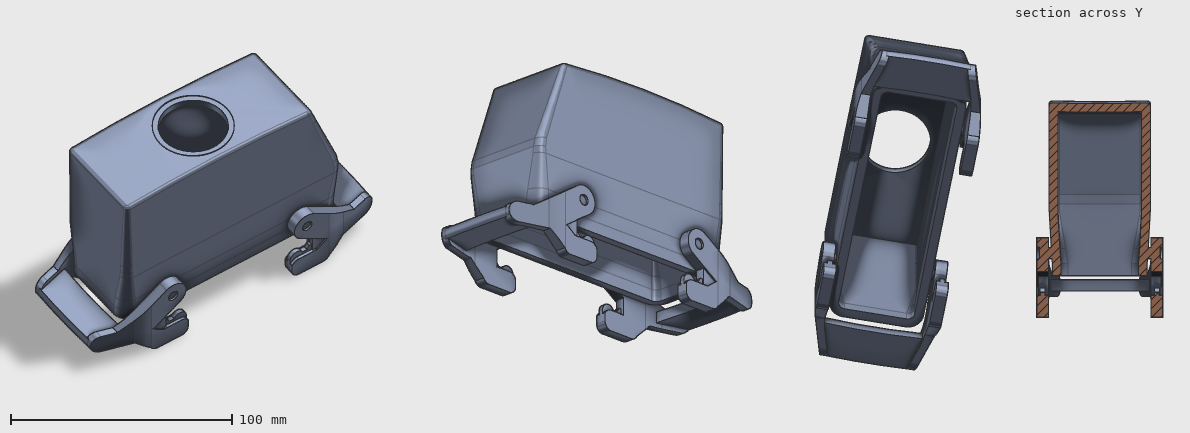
import cadquery as cq
import math

HOOD_HALF_LENGTH = 60.0
RIM_HALF_WIDTH = 21.5
SHOULDER_HALF_WIDTH = 22.0
BODY_HALF_WIDTH = 23.0

RIM_BOTTOM_Z = 18.8
RIM_TOP_Z = 24.5
SHOULDER_Z = 31.2
WAIST_Z = 47.9
BEND_BOTTOM_Z = 51.2
BEND_TOP_Z = 55.4
BLANK_TOP_Z = 100.5

RIM_CORNER_RADIUS = 7.2
SHOULDER_CORNER_RADIUS = 6.6
WAIST_CORNER_RADIUS = 4.1
TOP_CORNER_RADIUS = 1.9
SMALLEST_CORNER_RADIUS = 0.6

FRONT_LEAN = 0.013
REAR_LEAN = 0.38
REAR_SLOPE_START_Z = 53.4

CROWN_TOP_Z = 97.8
CROWN_RADIUS = 604.5
ENTRY_Y = -5.8
TOP_FILLET = 1.5
WALL = 4.1

ENTRY_DIAMETER = 31.7
SPOTFACE_DIAMETER = 37.0
SPOTFACE_DEPTH = 0.5

PIN_Y = 37.0
PIN_Z = 29.0
PIN_DIAMETER = 5.2
PIN_RECESS = 1.1
PIN_ROOT_X = 19.6

HEAD_RADIUS = 7.0
LEVER_WIDTH = 57.0
LEVER_OUTER_X = LEVER_WIDTH / 2
LEVER_INNER_X = 23.1
LEVER_END_Y = 78.0
LEVER_TOP_Z = PIN_Z + HEAD_RADIUS
TAPER = 0.29
OUTER_BEND_Y = 53.7
INNER_BEND_Y = 59.5
BEND_RADIUS = 33.0
PLATE_END_FILLET = 1.3

ARM_ANGLE = math.radians(32.2)
HANDLE_TOP_Z = 19.5
HANDLE_BOTTOM_Z = 9.5
HANDLE_END_RADIUS = (HANDLE_TOP_Z - HANDLE_BOTTOM_Z) / 2
HANDLE_MIDDLE_Z = (HANDLE_TOP_Z + HANDLE_BOTTOM_Z) / 2
HANDLE_INNER_Y = 57.6
HEEL_TOP = (49.3, 2.2)
HEEL_MIDDLE = (47.5, 0.5)
HEEL_BOTTOM_Y = 45.4
HOOK_END_Y = 28.7
HOOK_TOE_RADIUS = 3.8
HOOK_TIP_RADIUS = 3.6
HOOK_TOP_Z = 13.3
THROAT_Y = 40.7
NOTCH_Z = 11.5

TONGUE_LEDGE_DEPTH = 1.5
THROAT_LEDGE_DEPTH = 0.8
LEDGE_Z = 10.0
LEDGE_END_Z = 7.7
LEDGE_CURVE_MIDDLE = (30.1, 9.3)
LEDGE_CURVE_Y = 32.3
LEDGE_INNER_Y = 42.5
LEDGE_TIP_Y = 48.0

BAR_END_Y = 78.5
BAR_INNER_Y = 61.7
BAR_TOP_Z = 17.1
BAR_BOTTOM_Z = 12.0
BAR_CURVE_RADIUS = 392.5
BAR_SWEEP = 8.4


def front_y(z):
    """Front face of the hood: upright on the rim, leaning inward above it."""
    return -HOOD_HALF_LENGTH + FRONT_LEAN * (max(z, RIM_TOP_Z) - RIM_TOP_Z)


def rear_y(z):
    """Rear face of the hood: upright, then sloping inward."""
    if z < BEND_TOP_Z:
        return HOOD_HALF_LENGTH
    return HOOD_HALF_LENGTH - REAR_LEAN * (z - REAR_SLOPE_START_Z)


def corner_radius(z):
    """Corner radius above the waist, shrinking evenly to the top."""
    share = (z - WAIST_Z) / (BLANK_TOP_Z - WAIST_Z)
    return WAIST_CORNER_RADIUS + share * (TOP_CORNER_RADIUS - WAIST_CORNER_RADIUS)


def hood_section(z, half_width, radius, inset):
    """Horizontal rounded rectangle of the hood at height z, offset inward by inset."""
    front = front_y(z) + inset
    rear = rear_y(z) - inset
    outline = cq.Sketch().rect(2 * (half_width - inset), rear - front)
    outline = outline.vertices().fillet(max(radius - inset, SMALLEST_CORNER_RADIUS))
    return outline.moved(cq.Location(cq.Vector(0, (front + rear) / 2, z)))


def hood_block(inset):
    """Solid hood shape with a crowned top, offset inward by inset on all sides but the bottom."""
    levels = [
        (RIM_BOTTOM_Z, RIM_HALF_WIDTH, RIM_CORNER_RADIUS),
        (RIM_TOP_Z, RIM_HALF_WIDTH, RIM_CORNER_RADIUS),
        (SHOULDER_Z, SHOULDER_HALF_WIDTH, SHOULDER_CORNER_RADIUS),
    ]
    for z in (WAIST_Z, BEND_BOTTOM_Z, BEND_TOP_Z, BLANK_TOP_Z):
        levels.append((z, BODY_HALF_WIDTH, corner_radius(z)))
    sections = [hood_section(*level, inset) for level in levels]
    blank = cq.Workplane("XY").placeSketch(*sections).loft(ruled=True).clean()
    crown = (
        cq.Workplane("YZ", origin=(0, ENTRY_Y, CROWN_TOP_Z - CROWN_RADIUS))
        .circle(CROWN_RADIUS - inset)
        .extrude(BODY_HALF_WIDTH, both=True)
    )
    return blank.intersect(crown)


def round_top_edges(block):
    """Round the edges around the crown."""
    lowest_z = CROWN_TOP_Z - 3 * TOP_FILLET
    top_edges = cq.selectors.BoxSelector(
        (-BODY_HALF_WIDTH, -HOOD_HALF_LENGTH, lowest_z), (BODY_HALF_WIDTH, HOOD_HALF_LENGTH, BLANK_TOP_Z)
    )
    return block.edges(top_edges).fillet(TOP_FILLET)


def pivot_pins():
    """Four pins, two on each long side of the hood."""
    pin_end_x = LEVER_OUTER_X - PIN_RECESS
    pin = cq.Workplane("YZ").circle(PIN_DIAMETER / 2).extrude(pin_end_x - PIN_ROOT_X)
    pins = cq.Workplane("XY")
    for y in (-PIN_Y, PIN_Y):
        for start_x in (-pin_end_x, PIN_ROOT_X):
            pins = pins.add(pin.translate((start_x, y, PIN_Z)))
    return pins.combine()


def make_hood():
    """Hollow hood, open at the bottom, with its cable entry and pivot pins."""
    hood = round_top_edges(hood_block(0)).cut(hood_block(WALL))
    spotface = (
        cq.Workplane("XY", origin=(0, ENTRY_Y, CROWN_TOP_Z - SPOTFACE_DEPTH))
        .circle(SPOTFACE_DIAMETER / 2)
        .extrude(SPOTFACE_DEPTH)
    )
    entry = (
        cq.Workplane("XY", origin=(0, ENTRY_Y, CROWN_TOP_Z - 2 * WALL))
        .circle(ENTRY_DIAMETER / 2)
        .extrude(2 * WALL)
    )
    return hood.cut(spotface).cut(entry).union(pivot_pins())


def arm_point(side, reach):
    """Point on the arm's upper (side 1) or lower (side -1) edge, at a distance past the head."""
    return (
        PIN_Y + side * HEAD_RADIUS * math.sin(ARM_ANGLE) + reach * math.cos(ARM_ANGLE),
        PIN_Z + side * HEAD_RADIUS * math.cos(ARM_ANGLE) - reach * math.sin(ARM_ANGLE),
    )


def arm_point_at_y(side, y):
    """Point on the arm's upper or lower edge at a given Y."""
    return arm_point(side, (y - arm_point(side, 0)[0]) / math.cos(ARM_ANGLE))


def arm_point_at_z(side, z):
    """Point on the arm's upper or lower edge at a given height."""
    return arm_point(side, (arm_point(side, 0)[1] - z) / math.sin(ARM_ANGLE))


def lever_side_profile():
    """Outline of a side plate: pivot head, arm, handle and hook."""
    end_center_y = LEVER_END_Y - HANDLE_END_RADIUS
    toe_diagonal = HOOK_TOE_RADIUS * (1 - math.sqrt(0.5))
    tip_center = (HOOK_END_Y + HOOK_TIP_RADIUS, HOOK_TOP_Z - HOOK_TIP_RADIUS)
    tip_drop = math.sqrt(HOOK_TIP_RADIUS**2 - (NOTCH_Z - tip_center[1]) ** 2)
    notch_width = THROAT_Y - tip_center[0] - tip_drop
    return (
        cq.Workplane("YZ")
        .moveTo(*arm_point(1, 0))
        .lineTo(*arm_point_at_z(1, HANDLE_TOP_Z))
        .lineTo(end_center_y, HANDLE_TOP_Z)
        .threePointArc((LEVER_END_Y, HANDLE_MIDDLE_Z), (end_center_y, HANDLE_BOTTOM_Z))
        .lineTo(HANDLE_INNER_Y, HANDLE_BOTTOM_Z)
        .lineTo(*HEEL_TOP)
        .threePointArc(HEEL_MIDDLE, (HEEL_BOTTOM_Y, 0))
        .lineTo(HOOK_END_Y + HOOK_TOE_RADIUS, 0)
        .threePointArc((HOOK_END_Y + toe_diagonal, toe_diagonal), (HOOK_END_Y, HOOK_TOE_RADIUS))
        .lineTo(HOOK_END_Y, tip_center[1])
        .threePointArc((tip_center[0], HOOK_TOP_Z), (tip_center[0] + tip_drop, NOTCH_Z))
        .lineTo(THROAT_Y - notch_width / 2, NOTCH_Z)
        .lineTo(THROAT_Y - notch_width / 4, HOOK_TOP_Z)
        .lineTo(THROAT_Y, HOOK_TOP_Z)
        .lineTo(*arm_point_at_y(-1, THROAT_Y))
        .lineTo(*arm_point(-1, 0))
        .threePointArc((PIN_Y - HEAD_RADIUS, PIN_Z), arm_point(1, 0))
        .close()
    )


def lever_planform(start_x, bend_y):
    """Seen from above: the area between two side faces that run straight and then taper inward."""
    end_x = start_x - TAPER * (BAR_END_Y - bend_y)
    block = (
        cq.Workplane("XY")
        .polyline(
            [
                (-start_x, 0),
                (start_x, 0),
                (start_x, bend_y),
                (end_x, BAR_END_Y),
                (-end_x, BAR_END_Y),
                (-start_x, bend_y),
            ]
        )
        .close()
        .extrude(LEVER_TOP_Z)
    )
    bend_edges = "(|Z and (not >Y)) and (not <Y)"
    return block.edges(bend_edges).fillet(BEND_RADIUS)


def tongue_ledge():
    """Recess along the hook, in front of the throat."""
    top_z = arm_point(-1, 0)[1]
    return (
        cq.Workplane("YZ")
        .moveTo(*arm_point_at_y(-1, THROAT_Y))
        .lineTo(*arm_point(-1, 0))
        .lineTo(HOOK_END_Y, top_z)
        .lineTo(HOOK_END_Y, LEDGE_END_Z)
        .threePointArc(LEDGE_CURVE_MIDDLE, (LEDGE_CURVE_Y, LEDGE_Z))
        .lineTo(THROAT_Y, LEDGE_Z)
        .close()
        .extrude(TONGUE_LEDGE_DEPTH)
    )


def throat_ledge():
    """Pointed recess behind the throat."""
    corners = [
        arm_point_at_y(-1, THROAT_Y),
        arm_point_at_y(-1, LEDGE_TIP_Y),
        (LEDGE_INNER_Y, LEDGE_Z),
        (THROAT_Y, LEDGE_Z),
    ]
    return cq.Workplane("YZ").polyline(corners).close().extrude(THROAT_LEDGE_DEPTH)


def hook_ledges():
    """All the recesses of the lever's two hooks."""
    throat_x = LEVER_OUTER_X - THROAT_LEDGE_DEPTH
    tongue_x = LEVER_OUTER_X - TONGUE_LEDGE_DEPTH
    placed_ledges = [
        (throat_ledge(), throat_x),
        (tongue_ledge(), tongue_x),
        (tongue_ledge(), LEVER_INNER_X),
    ]
    ledges = cq.Workplane("XY")
    for ledge, start_x in placed_ledges:
        right_ledge = ledge.translate((start_x, 0, 0))
        ledges = ledges.add(right_ledge).add(right_ledge.mirror("YZ"))
    return ledges.combine()


def handle_bar():
    """Curved bar between the side plates, swept around an upright axis."""
    axis_y = BAR_END_Y - BAR_CURVE_RADIUS
    round_center_x = BAR_CURVE_RADIUS - HANDLE_END_RADIUS
    top_x = round_center_x + math.sqrt(HANDLE_END_RADIUS**2 - (BAR_TOP_Z - HANDLE_MIDDLE_Z) ** 2)
    bottom_x = round_center_x + math.sqrt(HANDLE_END_RADIUS**2 - (BAR_BOTTOM_Z - HANDLE_MIDDLE_Z) ** 2)
    inner_x = BAR_INNER_Y - axis_y
    bar = (
        cq.Workplane("XZ")
        .moveTo(inner_x, BAR_BOTTOM_Z)
        .lineTo(bottom_x, BAR_BOTTOM_Z)
        .threePointArc((BAR_CURVE_RADIUS, HANDLE_MIDDLE_Z), (top_x, BAR_TOP_Z))
        .lineTo(inner_x, BAR_TOP_Z)
        .close()
        .revolve(BAR_SWEEP, (0, 0), (0, 1))
    )
    middle_angle = 90 - BAR_SWEEP / 2
    return bar.rotate((0, 0, 0), (0, 0, 1), middle_angle).translate((0, axis_y, 0))


def make_lever():
    """Lever on the rear end of the hood."""
    outer = lever_planform(LEVER_OUTER_X, OUTER_BEND_Y).edges("|Z and >Y").fillet(PLATE_END_FILLET)
    inner = lever_planform(LEVER_INNER_X, INNER_BEND_Y)
    plates = lever_side_profile().extrude(LEVER_OUTER_X, both=True).intersect(outer.cut(inner))
    pin_holes = (
        cq.Workplane("YZ", origin=(0, PIN_Y, PIN_Z))
        .circle(PIN_DIAMETER / 2)
        .extrude(LEVER_OUTER_X, both=True)
    )
    return plates.cut(hook_ledges()).cut(pin_holes).union(handle_bar().intersect(outer))


rear_lever = make_lever()
hood_with_front_lever = make_hood().union(make_lever().mirror("XZ"))

result = cq.Compound.makeCompound([hood_with_front_lever.val(), rear_lever.val()])